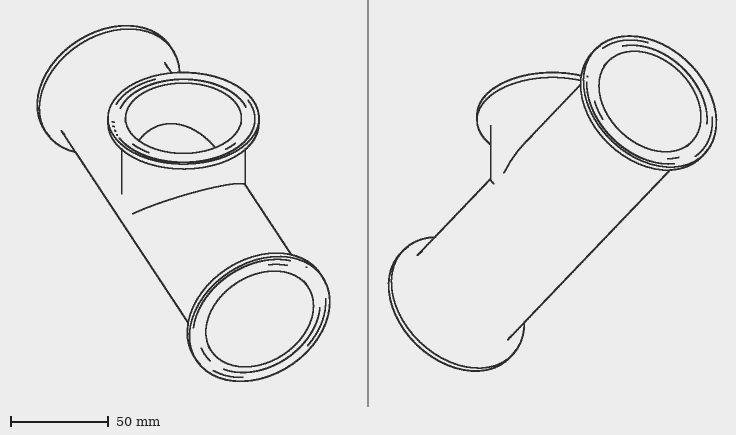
import cadquery as cq
import math

run_length = 210.0
tube_outer_radius = 63.5 / 2
bore_radius = 59.5 / 2
flange_radius = 77.5 / 2
overall_height = 93.7
branch_length = overall_height - flange_radius

rim_thickness = 3.2
cone_angle = math.radians(20)
root_fillet = 1.9
cone_depth = (flange_radius - tube_outer_radius) * math.tan(cone_angle)

groove_center_radius = 35.0
groove_half_width = 1.7
groove_depth = 1.5
groove_edge_fillet = 0.8


def ferrule_tube(length):
    """Solid tube along +Z from the origin, with a grooved clamp flange at its far end."""
    rim_back = length - rim_thickness
    cone_root = rim_back - cone_depth
    body = (
        cq.Workplane("XZ")
        .lineTo(tube_outer_radius, 0)
        .lineTo(tube_outer_radius, cone_root)
        .lineTo(flange_radius, rim_back)
        .lineTo(flange_radius, length)
        .lineTo(0, length)
        .close()
        .revolve(360, (0, 0, 0), (0, 1, 0))
    )
    root_edge = cq.selectors.BoxSelector(
        (-flange_radius, -flange_radius, cone_root - 0.2),
        (flange_radius, flange_radius, cone_root + 0.2),
    )
    body = body.edges(root_edge).fillet(root_fillet)
    groove = (
        cq.Workplane("XZ")
        .moveTo(groove_center_radius - groove_half_width, length)
        .threePointArc(
            (groove_center_radius, length - groove_depth),
            (groove_center_radius + groove_half_width, length),
        )
        .close()
        .revolve(360, (0, 0, 0), (0, 1, 0))
    )
    body = body.cut(groove)
    lips = body.faces(">Z").edges(cq.selectors.RadiusNthSelector(0))
    lips = lips.add(body.faces(">Z").edges(cq.selectors.RadiusNthSelector(1)))
    return lips.fillet(groove_edge_fillet)


half_run = ferrule_tube(run_length / 2).rotate((0, 0, 0), (0, 1, 0), 90)
branch = ferrule_tube(branch_length)
opposite_half_run = half_run.rotate((0, 0, 0), (0, 0, 1), 180)
run = half_run.union(opposite_half_run, clean=True)
body = run.union(branch, clean=True)

run_bore = cq.Workplane("YZ", origin=(-run_length / 2, 0, 0)).circle(bore_radius).extrude(run_length)
branch_bore = cq.Workplane("XY").circle(bore_radius).extrude(branch_length)

result = body.cut(run_bore.union(branch_bore)).clean()